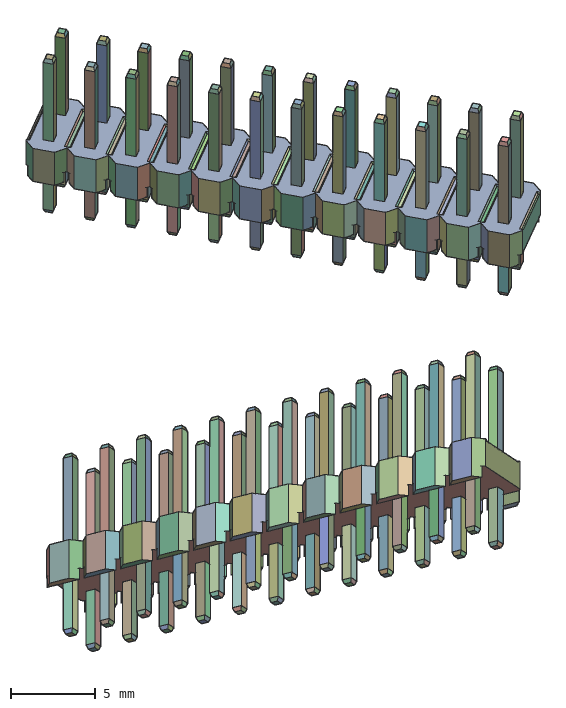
import cadquery as cq

pitch = 2.54
columns = 12
rows = 2
body_height = 2.5
corner_chamfer = 0.6
foot_thickness = 0.45
foot_height = 0.72
groove_length = 3.66
groove_width = 0.4
groove_depth = 0.1
groove_wall_angle = 45
pin_width = 0.64
pin_length = 11.6
pin_below_body = 3.0
tip_height = 0.25
tip_inset = 0.1

body_length = columns * pitch
body_width = rows * pitch
pin_bottom = -pin_below_body
column_centers = [(i - (columns - 1) / 2) * pitch for i in range(columns)]
row_centers = [(j - (rows - 1) / 2) * pitch for j in range(rows)]
boundaries = [(i - columns / 2) * pitch for i in range(columns + 1)]


def make_body():
    """Row of octagonal cells joined side by side, underside at Z = 0."""
    half_width = body_width / 2
    body = cq.Workplane("XY").box(body_length, body_width, body_height, centered=(True, True, False))
    notch_outline = [(-corner_chamfer, 0), (corner_chamfer, 0), (0, -corner_chamfer)]
    for x in boundaries:
        for side in (-1, 1):
            points = [(x + dx, side * (half_width + dy)) for dx, dy in notch_outline]
            body = body.cut(cq.Workplane("XY").polyline(points).close().extrude(body_height))
    return body


def make_underside_channel():
    """Full-length channel that leaves a row of feet along each long side."""
    channel_width = body_width - 2 * foot_thickness
    return cq.Workplane("XY").box(body_length, channel_width, foot_height, centered=(True, True, False))


def make_groove(x):
    """Shallow groove across the top face where two cells meet, its four walls sloping inward."""
    return (
        cq.Workplane("XY", origin=(x, 0, body_height))
        .rect(groove_width, groove_length)
        .extrude(-groove_depth, taper=groove_wall_angle)
    )


def make_pin(x, y):
    """Square pin with a tapered tip at each end."""
    return (
        cq.Workplane("XY", origin=(x, y, pin_bottom))
        .box(pin_width, pin_width, pin_length, centered=(True, True, False))
        .faces("<Z or >Z")
        .chamfer(tip_height, tip_inset)
    )


body = make_body().cut(make_underside_channel())
for x in boundaries:
    body = body.cut(make_groove(x))

result = body
for x in column_centers:
    for y in row_centers:
        result = result.union(make_pin(x, y))